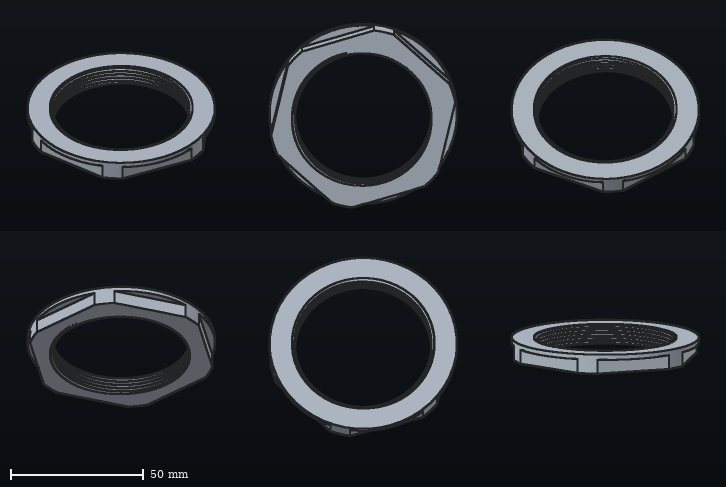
import cadquery as cq
import math

outer_diameter = 71
total_height = 7.4
flange_thickness = 2.0
across_flats = 65.0

minor_radius = 25.85
major_radius = 27.05
pitch = 1.5
thread_angle = 55
thread_rise = 0.5
thread_depth = major_radius - minor_radius
lead_in_height = 0.7
tool_overlap = 0.1

sleeve_radius = 29.8
trim_clearance = 0.7


def make_body():
    """Round flange on a hexagon whose corners are turned to the flange diameter."""
    hex_height = total_height - flange_thickness
    across_corners = across_flats / math.cos(math.pi / 6)
    turned_blank = cq.Workplane("XY").circle(outer_diameter / 2).extrude(hex_height)
    hexagon = cq.Workplane("XY").polygon(6, across_corners).extrude(hex_height)
    flange = (
        cq.Workplane("XY", origin=(0, 0, hex_height))
        .circle(outer_diameter / 2)
        .extrude(flange_thickness)
    )
    return hexagon.intersect(turned_blank).union(flange)


def make_thread_groove():
    """Helical V groove that runs out of both ends of the bore."""
    cutter_depth = thread_depth + tool_overlap
    cutter_half_width = cutter_depth * math.tan(math.radians(thread_angle / 2))
    inner_radius = major_radius - cutter_depth

    turns_below_top = math.ceil(total_height / pitch) + 1
    start_height = total_height + thread_rise - turns_below_top * pitch
    helix_height = (turns_below_top + 1) * pitch

    path = cq.Wire.makeHelix(pitch, helix_height, minor_radius)
    groove = (
        cq.Workplane("XZ")
        .polyline([
            (inner_radius, -cutter_half_width),
            (major_radius, 0),
            (inner_radius, cutter_half_width),
        ])
        .close()
        .sweep(cq.Workplane(obj=path), isFrenet=True)
    )
    quarter_turn = 90
    return groove.rotate((0, 0, 0), (0, 0, 1), quarter_turn).translate((0, 0, start_height))


def make_threaded_sleeve():
    """Threaded liner, cut over-long and then trimmed to the part and its conical lead-in."""
    over_length = 3 * pitch
    long_sleeve = (
        cq.Workplane("XY", origin=(0, 0, -over_length))
        .circle(sleeve_radius)
        .circle(minor_radius)
        .extrude(total_height + 2 * over_length)
    )
    trim_radius = minor_radius - trim_clearance
    lead_in_slope = lead_in_height / thread_depth
    trim_inner_height = total_height - lead_in_height - trim_clearance * lead_in_slope
    trim_envelope = (
        cq.Workplane("XZ")
        .polyline([
            (trim_radius, 0),
            (sleeve_radius, 0),
            (sleeve_radius, total_height),
            (major_radius, total_height),
            (trim_radius, trim_inner_height),
        ])
        .close()
        .revolve(360, (0, 0, 0), (0, 1, 0))
    )
    return long_sleeve.cut(make_thread_groove()).intersect(trim_envelope)


sleeve_seat = cq.Workplane("XY").circle(sleeve_radius).extrude(total_height)
result = make_body().cut(sleeve_seat).union(make_threaded_sleeve())